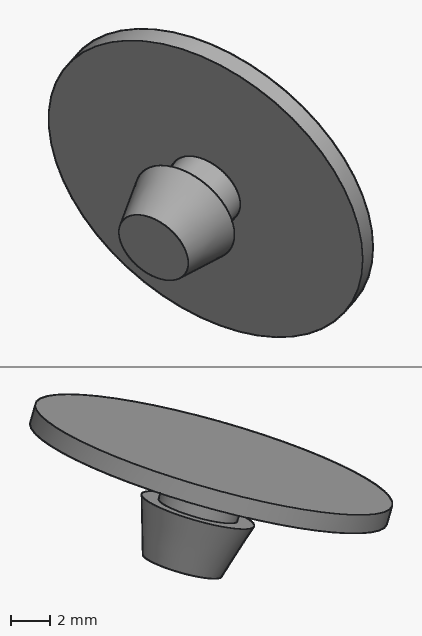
import cadquery as cq

disc_diameter = 19.0
disc_thickness = 1.0
stem_diameter = 4.2
stem_length = 2.0
head_diameter = 6.0
head_length = 3.0
tip_diameter = stem_diameter

disc_inner_y = -disc_thickness
head_base_y = disc_inner_y - stem_length
tip_y = head_base_y - head_length

half_section = (
    cq.Workplane("XY")
    .moveTo(0, 0)
    .lineTo(disc_diameter / 2, 0)
    .lineTo(disc_diameter / 2, disc_inner_y)
    .lineTo(stem_diameter / 2, disc_inner_y)
    .lineTo(stem_diameter / 2, head_base_y)
    .lineTo(head_diameter / 2, head_base_y)
    .lineTo(tip_diameter / 2, tip_y)
    .lineTo(0, tip_y)
    .close()
)

result = half_section.revolve(360, (0, 0, 0), (0, 1, 0))